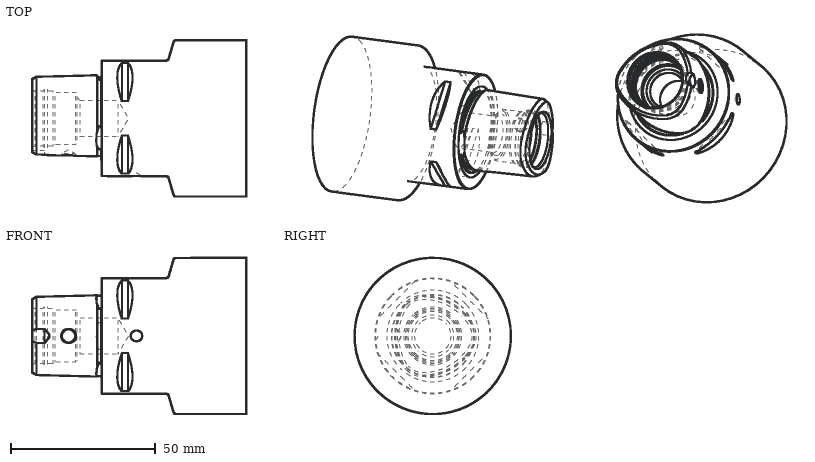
import cadquery as cq
import math

length = 74.0
head_radius = 27.0
flange_radius = 20.0
flange_start = 24.0
cone_start = 46.9
cone_end = 49.0
flange_edge_chamfer = 0.2
cone_root_fillet = 0.9
head_edge_fillet = 0.9

shank_length = 22.35
shank_mean_radius = 14.05
lobe_offset = 6.8
taper_angle = math.degrees(math.atan(1 / 40))
tip_bevel_length = 1.55
tip_bevel_inset = 0.9
neck_inset = 0.15
neck_bevel_length = 0.2

relief_x = 23.4
relief_tube_radius = 0.95
relief_centre_radius = 15.1
relief_flank_reach = 1.5
collar_height = 0.2

bore_mouth_radius = 10.0
bore_mouth_depth = 0.95
bore_radius = 9.5
groove_start = 3.8
groove_end = 5.4
groove_depth = 0.5
guide_bevel_start = 7.2
guide_bevel_end = 8.0
guide_radius = 8.99
guide_depth = 15.55
floor_radius = 8.5
throat_mouth_radius = 7.25
throat_radius = 6.25
throat_depth = 29.6
drill_half_angle = 59.0

slot_count = 4
slot_x = 32.05
slot_floor_width = 2.1
slot_floor_height = 17.7
slot_wall_angle = 35.0

cross_hole_x = 12.6
cross_hole_radius = 2.3
cross_hole_depth = 0.75
countersink_radius = 2.6
notch_radius = 2.7
notch_length = 4.3
notch_axis_y = -13.7
dimple_x = 36.05
dimple_radius = 2.0

clearance = 0.75


def revolve_x(points):
    """Turn a closed (X, radius) outline about the X axis."""
    outline = cq.Workplane("XY").polyline(points).close()
    return outline.revolve(360, (0, 0, 0), (1, 0, 0))


def drill_tip(radius):
    """Axial length of a drill point of the given radius."""
    return radius / math.tan(math.radians(drill_half_angle))


def make_body():
    body = revolve_x([
        (flange_start, 0),
        (flange_start, flange_radius),
        (cone_start, flange_radius),
        (cone_end, head_radius),
        (length, head_radius),
        (length, 0),
    ])

    def edges_at(x):
        low = (x - 0.1, -length, -length)
        high = (x + 0.1, length, length)
        return body.edges(cq.selectors.BoxSelector(low, high))

    body = edges_at(cone_start).fillet(cone_root_fillet)
    body = edges_at(cone_end).fillet(head_edge_fillet)
    return edges_at(flange_start).chamfer(flange_edge_chamfer)


def lobed_outline(x, mean_radius):
    """Constant-width outline of six tangent arcs in the plane at X = x, one lobe toward +Y."""
    half_side = lobe_offset * math.sqrt(3) / 2
    lobe_radius = mean_radius - half_side
    flank_radius = mean_radius + half_side

    def on_arc(centre_angle, radius, normal_angle):
        centre = math.radians(centre_angle)
        normal = math.radians(normal_angle)
        return (
            lobe_offset * math.cos(centre) + radius * math.cos(normal),
            lobe_offset * math.sin(centre) + radius * math.sin(normal),
        )

    outline = cq.Workplane("YZ", origin=(x, 0, 0)).moveTo(*on_arc(0, lobe_radius, -30))
    for lobe in (0, 120, 240):
        outline = outline.threePointArc(
            on_arc(lobe, lobe_radius, lobe),
            on_arc(lobe, lobe_radius, lobe + 30),
        )
        flank = lobe + 60
        outline = outline.threePointArc(
            on_arc(flank + 180, flank_radius, flank),
            on_arc(flank + 180, flank_radius, flank + 30),
        )
    return outline.close()


def make_shank():
    taper_length = shank_length - tip_bevel_length
    tip_radius = shank_mean_radius - taper_length * math.tan(math.radians(taper_angle))
    tip_bevel_angle = math.degrees(math.atan(tip_bevel_inset / tip_bevel_length))
    neck_bevel_angle = math.degrees(math.atan(neck_inset / neck_bevel_length))
    neck_start = shank_length + neck_bevel_length

    tip = lobed_outline(tip_bevel_length, tip_radius).extrude(-tip_bevel_length, taper=tip_bevel_angle)
    taper = lobed_outline(shank_length, shank_mean_radius).extrude(-taper_length, taper=taper_angle)
    bevel = lobed_outline(shank_length, shank_mean_radius)
    bevel = bevel.extrude(neck_bevel_length, taper=neck_bevel_angle)
    neck = lobed_outline(neck_start, shank_mean_radius - neck_inset)
    neck = neck.extrude(flange_start + clearance - neck_start)
    collar_radius = relief_centre_radius - relief_tube_radius
    collar = cq.Workplane("YZ", origin=(flange_start - collar_height, 0, 0)).circle(collar_radius)
    collar = collar.extrude(collar_height + clearance)
    return tip.union(taper).union(bevel).union(neck).union(collar)


def make_relief():
    """Ring with a round bottom and a 45 degree flank that runs out through the lobes."""
    diagonal = relief_tube_radius * math.sqrt(0.5)
    flank_x = relief_x - diagonal
    flank_radius = relief_centre_radius - diagonal
    section = (
        cq.Workplane("XY")
        .moveTo(flank_x, flank_radius)
        .threePointArc(
            (relief_x + relief_tube_radius, relief_centre_radius),
            (relief_x, relief_centre_radius + relief_tube_radius),
        )
        .lineTo(flank_x - relief_flank_reach, flank_radius + relief_flank_reach)
        .close()
    )
    return section.revolve(360, (0, 0, 0), (1, 0, 0))


def make_bore():
    throat_start = guide_depth + throat_mouth_radius - throat_radius
    return revolve_x([
        (0, 0),
        (0, bore_mouth_radius),
        (bore_mouth_depth, bore_radius),
        (groove_start, bore_radius),
        (groove_start + groove_depth, bore_radius + groove_depth),
        (groove_end, bore_radius + groove_depth),
        (groove_end, bore_radius),
        (guide_bevel_start, bore_radius),
        (guide_bevel_end, guide_radius),
        (guide_depth - (guide_radius - floor_radius), guide_radius),
        (guide_depth, floor_radius),
        (guide_depth, throat_mouth_radius),
        (throat_start, throat_radius),
        (throat_depth, throat_radius),
        (throat_depth + drill_tip(throat_radius), 0),
    ])


def make_slots():
    rise = flange_radius - slot_floor_height + clearance
    half_floor = slot_floor_width / 2
    half_top = half_floor + rise * math.tan(math.radians(slot_wall_angle))
    cutter = (
        cq.Workplane("XZ")
        .polyline([
            (slot_x - half_floor, slot_floor_height),
            (slot_x + half_floor, slot_floor_height),
            (slot_x + half_top, slot_floor_height + rise),
            (slot_x - half_top, slot_floor_height + rise),
        ])
        .close()
        .extrude(flange_radius, both=True)
    )
    pitch = 360 / slot_count
    slots = cq.Workplane()
    for i in range(slot_count):
        slots = slots.add(cutter.rotate((0, 0, 0), (1, 0, 0), (i + 0.5) * pitch))
    return slots.combine()


def make_cross_hole():
    """Blind hole into the -Y flank of the shank, with a 45 degree countersink."""
    mean_radius = shank_mean_radius - (shank_length - cross_hole_x) * math.tan(math.radians(taper_angle))
    surface = mean_radius - lobe_offset * (1 - math.sqrt(3) / 2)
    sink = countersink_radius - cross_hole_radius
    floor = surface - cross_hole_depth
    outline = cq.Workplane("XY").polyline([
        (cross_hole_x, -surface - clearance),
        (cross_hole_x - countersink_radius - clearance, -surface - clearance),
        (cross_hole_x - cross_hole_radius, -surface + sink),
        (cross_hole_x - cross_hole_radius, -floor),
        (cross_hole_x, -floor + drill_tip(cross_hole_radius)),
    ]).close()
    return outline.revolve(360, (cross_hole_x, 0, 0), (cross_hole_x, 1, 0))


def make_notch():
    """Round keyway open at the shank tip, parallel to the axis, with a 45 degree pointed end."""
    outline = cq.Workplane("XY").polyline([
        (-clearance, notch_axis_y),
        (-clearance, notch_axis_y + notch_radius),
        (notch_length, notch_axis_y + notch_radius),
        (notch_length + notch_radius, notch_axis_y),
    ]).close()
    return outline.revolve(360, (0, notch_axis_y, 0), (1, notch_axis_y, 0))


def make_dimple():
    """Conical spot in the -Y side of the flange."""
    tip_y = -flange_radius + drill_tip(dimple_radius)
    cone_length = drill_tip(dimple_radius) + clearance
    outer_radius = cone_length * math.tan(math.radians(drill_half_angle))
    outline = cq.Workplane("XY").polyline([
        (dimple_x, tip_y),
        (dimple_x, tip_y - cone_length),
        (dimple_x + outer_radius, tip_y - cone_length),
    ]).close()
    return outline.revolve(360, (dimple_x, 0, 0), (dimple_x, 1, 0))


result = make_body().union(make_shank())
for cutter in (
    make_relief(),
    make_bore(),
    make_slots(),
    make_cross_hole(),
    make_notch(),
    make_dimple(),
):
    result = result.cut(cutter)